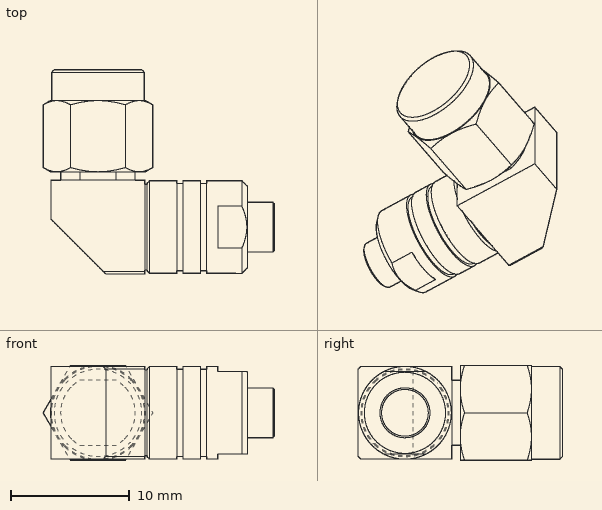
import cadquery as cq
import math


body_half = 3.95
body_height = 7.81
diagonal_leg = 4.62
body_edge_chamfer = 0.23

neck_radius = 3.14
neck_flat_gap = 5.5

hex_flats = 8.0
hex_corner_radius = hex_flats / 2 / math.cos(math.radians(30))
hex_start = 4.65
hex_length = 6.0
hex_chamfer_angle = 30
collar_radius = 3.92
collar_length = 2.61
collar_chamfer = 0.23

barrel_radius = body_height / 2
barrel_neck_radius = 3.62
barrel_start = 4.15
barrel_end = 12.6
barrel_lead_chamfer = 0.2
barrel_end_chamfer = 0.49
groove_starts = (6.65, 8.65)
groove_width = 0.5
groove_radius = 3.68
barrel_flat_start = 10.1
barrel_flat_gap = 6.97

tail_radius = 2.1
overall_length = 19.48
tail_end = overall_length - hex_corner_radius
tail_chamfer = 0.14


def rod_x(radius, start, end):
    """Cylinder on the barrel axis between two X positions."""
    return cq.Workplane("YZ").workplane(offset=start).circle(radius).extrude(end - start)


def rod_y(radius, start, end):
    """Cylinder on the nut axis between two Y positions."""
    return cq.Workplane("XZ").workplane(offset=-start).circle(radius).extrude(start - end)


def make_body():
    """Square block with its outer corner cut off at 45 degrees."""
    cut_end = diagonal_leg - body_half
    outline = [
        (-body_half, body_half),
        (body_half, body_half),
        (body_half, -body_half),
        (cut_end, -body_half),
        (-body_half, cut_end),
    ]
    block = cq.Workplane("XY").polyline(outline).close().extrude(body_height / 2, both=True)
    return block.faces("<Y").edges("|X").chamfer(body_edge_chamfer)


def make_neck():
    """Round neck with two flats facing up and down."""
    flats = cq.Workplane("XY").box(2 * neck_radius, 2 * hex_start, neck_flat_gap)
    return rod_y(neck_radius, 0, hex_start).intersect(flats)


def make_nut():
    """Hexagon with cone-chamfered ends, carrying a round collar."""
    hex_end = hex_start + hex_length
    hexagon = (
        cq.Workplane("XZ").workplane(offset=-hex_start)
        .polygon(6, 2 * hex_corner_radius).extrude(-hex_length)
    )
    cone_width = hex_corner_radius - hex_flats / 2
    cone_length = cone_width * math.tan(math.radians(hex_chamfer_angle))
    envelope = rod_y(hex_corner_radius, hex_start, hex_end)
    envelope = envelope.faces("<Y").chamfer(cone_length, cone_width)
    envelope = envelope.faces(">Y").chamfer(cone_length, cone_width)
    collar = rod_y(collar_radius, hex_start, hex_end + collar_length)
    collar = collar.faces(">Y").chamfer(collar_chamfer)
    return hexagon.intersect(envelope).union(collar)


def make_barrel():
    """Grooved round barrel with two wrench flats near its free end."""
    barrel = rod_x(barrel_radius, barrel_start, barrel_end)
    barrel = barrel.faces("<X").chamfer(barrel_lead_chamfer)
    barrel = barrel.faces(">X").chamfer(barrel_end_chamfer)
    for start in groove_starts:
        ring = rod_x(2 * barrel_radius, start, start + groove_width)
        barrel = barrel.cut(ring.cut(rod_x(groove_radius, start, start + groove_width)))
    flat_length = barrel_end - barrel_flat_start
    end_block = (
        cq.Workplane("XY").box(flat_length, 2 * barrel_radius, 2 * barrel_radius)
        .cut(cq.Workplane("XY").box(flat_length, 2 * barrel_radius, barrel_flat_gap))
        .translate((barrel_flat_start + flat_length / 2, 0, 0))
    )
    barrel_neck = rod_x(barrel_neck_radius, body_half / 2, barrel_start)
    return barrel.cut(end_block).union(barrel_neck)


def make_tail():
    """Cable tail leaving the free end of the barrel."""
    return rod_x(tail_radius, 0, tail_end).faces(">X").chamfer(tail_chamfer)


result = make_body().union(make_neck()).union(make_nut()).union(make_barrel()).union(make_tail())